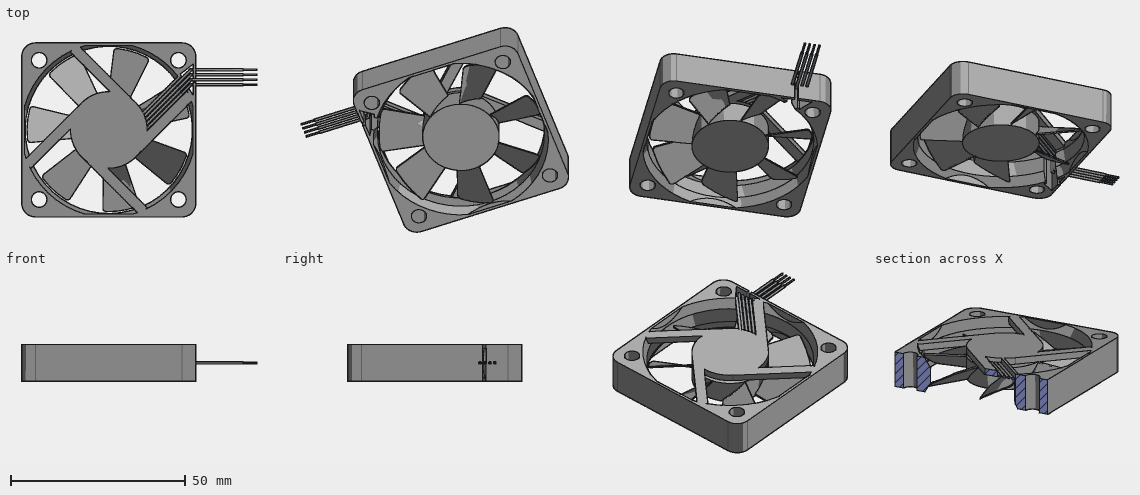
import cadquery as cq
import math

overall_length = 67.5

frame_side = 50.0
frame_height = 10.6
corner_radius = 4.0
wall = 0.8
inner_side = frame_side - 2 * wall
screw_hole_offset = 20.0
screw_hole_diameter = 4.4

throat_radius = 23.95
mouth_radius = 25.1
flare_height = 3.0

plate_radius = 11.0
plate_thickness = 1.95
plate_bottom = frame_height - plate_thickness
spoke_width = 3.05
spoke_inner_offset = plate_radius - spoke_width
spoke_reach = 23.6
spoke_angles = [45, 135, 225, 315]

channel_angle = spoke_angles[0]
channel_inner_offset = 4.0
channel_wall = 0.8
channel_wall_reach = 25.65
exit_pocket_corners = [(20.5, 16.0), (inner_side / 2, 18.8), (inner_side / 2, 10.0), (23.0, 11.9)]
wall_slot_width = 1.0
wall_slot_y = 14.21

wire_count = 4
wire_pitch = 1.4
wire_radius = 0.385
core_radius = 0.25
core_length = 4.05
wires_middle_y = 15.1
wire_bend_x = 23.55
wire_exit_z = frame_height / 2
wire_channel_z = plate_bottom + wire_radius
wire_end_x = overall_length - frame_side / 2

hub_radius = 11.0
hub_bottom = 1.0
hub_top = 7.6
blade_count = 7
first_blade_angle = 73.2
blade_root_radius = 9.8
blade_tip_radius = 23.5
blade_root_half_angle = 18.0
blade_tip_half_angle = 13.1
blade_corner_radius = 1.0
blade_root_middle_z = 4.45
blade_root_half_rise = 2.85
blade_tip_middle_z = 3.9
blade_tip_half_rise = 3.0
blade_thickness = 0.5
blade_blank_overhang = 1.3
blade_blank_extra_length = 0.7


def polar(radius, angle):
    return (radius * math.cos(math.radians(angle)), radius * math.sin(math.radians(angle)))


def prism(outline, bottom, top):
    return cq.Workplane("XY").workplane(offset=bottom).polyline(outline).close().extrude(top - bottom)


def bar(angle, near_offset, far_offset, reach, bottom):
    """Straight bar running out at an angle, between two offsets to the right of a line through the axis."""
    outline = [(0, -near_offset), (reach, -near_offset), (reach, -far_offset), (0, -far_offset)]
    return prism(outline, bottom, frame_height).rotate((0, 0, 0), (0, 0, 1), angle)


def disc(radius, bottom, top):
    return cq.Workplane("XY").workplane(offset=bottom).circle(radius).extrude(top - bottom)


def make_duct():
    """Round duct with flared mouths, cut flat where it would break through the frame sides."""
    half_profile = [
        (0, 0),
        (mouth_radius, 0),
        (throat_radius, flare_height),
        (throat_radius, frame_height - flare_height),
        (mouth_radius, frame_height),
        (0, frame_height),
    ]
    flared = cq.Workplane("XZ").polyline(half_profile).close().revolve(360, (0, 0), (0, 1))
    limits = cq.Workplane("XY").box(inner_side, inner_side, frame_height, centered=(True, True, False))
    return flared.intersect(limits)


def make_frame():
    block = cq.Workplane("XY").box(frame_side, frame_side, frame_height, centered=(True, True, False))
    block = block.edges("|Z").fillet(corner_radius)
    hole_spacing = 2 * screw_hole_offset
    block = block.faces(">Z").workplane().rect(hole_spacing, hole_spacing, forConstruction=True)
    return block.vertices().hole(screw_hole_diameter).cut(make_duct())


def make_housing(wires):
    housing = make_frame()
    for angle in spoke_angles:
        housing = housing.union(bar(angle, spoke_inner_offset, plate_radius, spoke_reach, plate_bottom))
    wall_outer_offset = channel_inner_offset - channel_wall
    housing = housing.union(
        bar(channel_angle, wall_outer_offset, channel_inner_offset, channel_wall_reach, plate_bottom)
    )

    housing = housing.cut(
        bar(channel_angle, channel_inner_offset, spoke_inner_offset, channel_wall_reach, 0)
    )
    housing = housing.cut(prism(exit_pocket_corners, 0, frame_height))
    wall_slot = cq.Workplane("XY").box(2 * wall, wall_slot_width, frame_height, centered=(True, True, False))
    housing = housing.cut(wall_slot.translate((frame_side / 2 - wall / 2, wall_slot_y, 0)))

    housing = housing.union(disc(plate_radius, plate_bottom, frame_height))
    for wire in wires:
        housing = housing.cut(wire)
    return housing


def rod(start, end, radius):
    direction = cq.Vector(*end) - cq.Vector(*start)
    return cq.Workplane(cq.Solid.makeCylinder(radius, direction.Length, cq.Vector(*start), direction))


def make_wire(y):
    """Wire from the plate edge along the channel, down inside the pocket and out through the wall."""
    upper_bend = (wire_bend_x, y, wire_channel_z)
    lower_bend = (wire_bend_x, y, wire_exit_z)
    insulation_end = (wire_end_x - core_length, y, wire_exit_z)

    run = wire_bend_x - plate_radius / 2
    inner_end = (wire_bend_x - run, y - run, wire_channel_z)
    wire = rod(inner_end, upper_bend, wire_radius)
    wire = wire.cut(disc(plate_radius, 0, frame_height))

    wire = wire.union(rod(upper_bend, lower_bend, wire_radius))
    wire = wire.union(rod(lower_bend, insulation_end, wire_radius))
    for bend in (upper_bend, lower_bend):
        wire = wire.union(cq.Workplane("XY").sphere(wire_radius).translate(bend))
    return wire.union(rod(insulation_end, (wire_end_x, y, wire_exit_z), core_radius))


def blade_section(half_width, middle_z, half_rise):
    """Corners of a tilted blade cross-section, as (sideways, height)."""
    side = half_width * blade_blank_overhang
    rise = half_rise * blade_blank_overhang
    half_thickness = blade_thickness / 2
    return [
        (-side, middle_z - rise - half_thickness),
        (side, middle_z + rise - half_thickness),
        (side, middle_z + rise + half_thickness),
        (-side, middle_z - rise + half_thickness),
    ]


def make_blade():
    """Twisted blade along +X: a ruled blank trimmed to a rounded outline."""
    root_x, root_y = polar(blade_root_radius, blade_root_half_angle)
    tip_x, tip_y = polar(blade_tip_radius, blade_tip_half_angle)
    blank_end = blade_tip_radius + blade_blank_extra_length
    blank = (
        cq.Workplane("YZ").workplane(offset=root_x)
        .polyline(blade_section(root_y, blade_root_middle_z, blade_root_half_rise)).close()
        .workplane(offset=blank_end - root_x)
        .polyline(blade_section(tip_y, blade_tip_middle_z, blade_tip_half_rise)).close()
        .loft(ruled=True)
    )
    outline = (
        cq.Workplane("XY")
        .moveTo(root_x, -root_y)
        .lineTo(tip_x, -tip_y)
        .threePointArc((blade_tip_radius, 0), (tip_x, tip_y))
        .lineTo(root_x, root_y)
        .close()
        .extrude(frame_height)
        .edges("|Z")
        .edges(">X")
        .fillet(blade_corner_radius)
    )
    return blank.intersect(outline)


def make_rotor():
    rotor = disc(hub_radius, hub_bottom, hub_top)
    blade = make_blade()
    for index in range(blade_count):
        angle = first_blade_angle + index * 360 / blade_count
        rotor = rotor.union(blade.rotate((0, 0, 0), (0, 0, 1), angle))
    return rotor


wires = []
for index in range(wire_count):
    wires.append(make_wire(wires_middle_y + wire_pitch * (index - (wire_count - 1) / 2)))

housing = make_housing(wires)
rotor = make_rotor()

result = cq.Compound.makeCompound([body.solids().val() for body in (housing, rotor, *wires)])